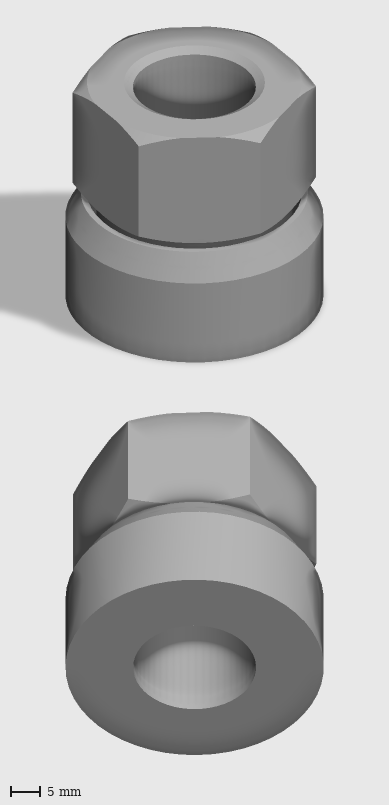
import cadquery as cq
import math

collar_radius = 22.0
collar_height = 20.5
collar_shoulder_height = 15.8
collar_top_radius = 19.35
recess_radius = 18.3
recess_depth = 17.6
recess_floor = collar_height - recess_depth

total_height = 42.5
across_flats = 36.0
corner_radius = across_flats / math.sqrt(3)
nut_top_radius = 18.3
neck_radius = 16.7
neck_top = 20.7

bore_radius = 10.45
bore_mouth_radius = 12.0

chamfer_slope = math.tan(math.radians(30))


def revolve_profile(points):
    """Revolve a closed (radius, height) outline about the Z axis."""
    return cq.Workplane("XZ").polyline(points).close().revolve(360, (0, 0, 0), (0, 1, 0))


def make_collar():
    """Ring with a conical shoulder outside and a recess for the neck of the nut."""
    return revolve_profile([
        (bore_radius, 0),
        (collar_radius, 0),
        (collar_radius, collar_shoulder_height),
        (collar_top_radius, collar_height),
        (recess_radius, collar_height),
        (recess_radius, recess_floor),
        (bore_radius, recess_floor),
    ])


def make_nut():
    """Hexagon with conically turned corners, a round neck and a countersunk bore."""
    top_drop = (corner_radius - nut_top_radius) * chamfer_slope
    bottom_rise = (corner_radius - neck_radius) * chamfer_slope
    countersink_depth = (bore_mouth_radius - bore_radius) * chamfer_slope
    turned_blank = revolve_profile([
        (bore_radius, recess_floor),
        (neck_radius, recess_floor),
        (neck_radius, neck_top),
        (corner_radius, neck_top + bottom_rise),
        (corner_radius, total_height - top_drop),
        (nut_top_radius, total_height),
        (bore_mouth_radius, total_height),
        (bore_radius, total_height - countersink_depth),
    ])
    hexagon = cq.Workplane("XY").polygon(6, 2 * corner_radius).extrude(total_height)
    return turned_blank.intersect(hexagon)


collar = make_collar()
nut = make_nut()

result = cq.Compound.makeCompound([collar.val(), nut.val()])